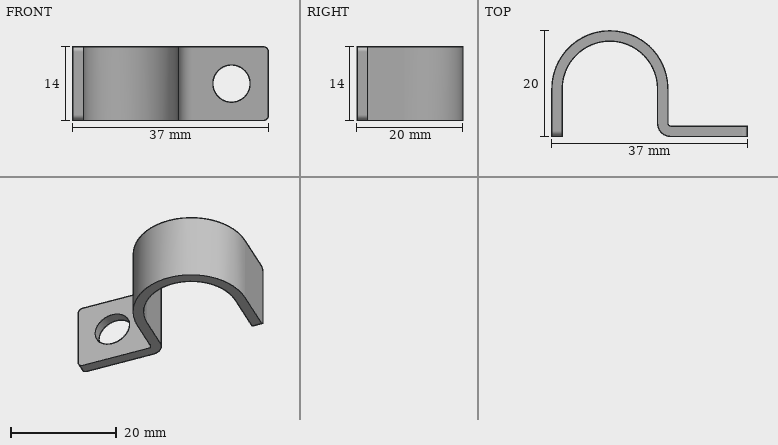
import cadquery as cq
import math

length = 37.0
depth = 20.0
width = 14.0
thickness = 2.0
loop_outer_radius = 11.0
bend_inner_radius = 0.5
corner_radius = 1.0
hole_diameter = 7.0
hole_to_end = 7.0

loop_inner_radius = loop_outer_radius - thickness
loop_center_x = loop_outer_radius
loop_center_y = depth - loop_outer_radius
leg_outer_x = 2 * loop_outer_radius
leg_inner_x = leg_outer_x - thickness
bend_outer_radius = bend_inner_radius + thickness
bend_center_x = leg_outer_x + bend_inner_radius
bend_center_y = bend_outer_radius


def bend_midpoint(radius):
    """Point halfway round the bend between the second leg and the flange."""
    offset = radius * math.sqrt(0.5)
    return (bend_center_x - offset, bend_center_y - offset)


def make_strip():
    """Bent strip: free leg, half-round loop, second leg, bend and flange."""
    return (
        cq.Workplane("XY")
        .moveTo(0, 0)
        .lineTo(0, loop_center_y)
        .threePointArc((loop_center_x, depth), (leg_outer_x, loop_center_y))
        .lineTo(leg_outer_x, bend_center_y)
        .threePointArc(bend_midpoint(bend_inner_radius), (bend_center_x, thickness))
        .lineTo(length, thickness)
        .lineTo(length, 0)
        .lineTo(bend_center_x, 0)
        .threePointArc(bend_midpoint(bend_outer_radius), (leg_inner_x, bend_center_y))
        .lineTo(leg_inner_x, loop_center_y)
        .threePointArc(
            (loop_center_x, loop_center_y + loop_inner_radius),
            (thickness, loop_center_y),
        )
        .lineTo(thickness, 0)
        .close()
        .extrude(width)
    )


def round_end_corners(strip):
    """Round the two corners at the flange end and at the free leg end."""
    strip = strip.faces(">X").edges("|Y").fillet(corner_radius)
    free_end_edges = cq.selectors.BoxSelector(
        (-thickness, -thickness, -thickness),
        (2 * thickness, thickness / 2, width + thickness),
    )
    return strip.edges("|X").edges(free_end_edges).fillet(corner_radius)


def make_hole_cutter():
    """Cylinder that passes through the flange along Y."""
    return (
        cq.Workplane("XZ")
        .center(length - hole_to_end, width / 2)
        .circle(hole_diameter / 2)
        .extrude(-thickness)
    )


result = round_end_corners(make_strip()).cut(make_hole_cutter())